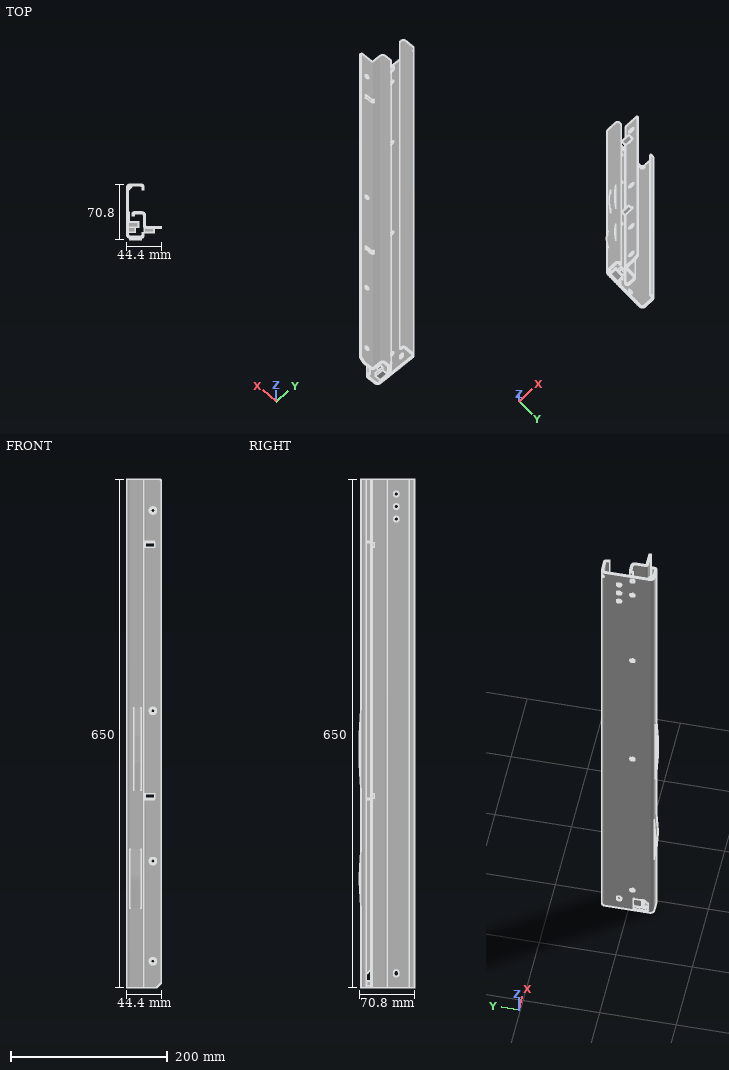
import cadquery as cq
import math

WIDTH = 44.4
DEPTH = 70.8
LENGTH = 650.0
SHEET = 2.1
RAMP_HEIGHT = 2.1

X_LEFT = -WIDTH / 2
X_RIGHT = WIDTH / 2
Y_BACK = DEPTH / 2
Y_BASE = -DEPTH / 2 + RAMP_HEIGHT
Z_TOP = LENGTH / 2
Z_BOTTOM = -LENGTH / 2

X_LIP = -0.2
Y_BACK_LIP_TIP = 28.4
Y_BASE_LIP_TIP = -26.5
WALL_BEND = 5.0
LIP_BEND = 3.6

ROUND_HOLE = 6.2
UPPER_HOLE_Y = 11.9
UPPER_HOLE_PITCH = 16.0
UPPER_HOLE_MIDDLE_Z = 290.0
END_SLOT_Z = -306.5
END_SLOT_LENGTH = 8.0
LOWER_HOLE_Y = -5.6
LOWER_HOLE_ZS = (290.0, 162.0, -30.0, -286.0)
DIMPLE_Z = 317.0
DIMPLE_BOSS = 10.0
DIMPLE_RECESS = 5.5
DIMPLE_RISE = 1.2
CORNER_DIMPLE_BOSS = 6.0
CORNER_DIMPLE_RECESS = 4.0
CORNER_DIMPLE_RISE = 2.5

RAMP_RIGHT = -3.7
UPPER_RAMP_LEFT = -12.8
UPPER_RAMP_MIDDLE_Z = -20.0
UPPER_RAMP_FLAT = 35.2
LOWER_RAMP_LEFT = -18.2
LOWER_RAMP_MIDDLE_Z = -185.5
LOWER_RAMP_FLAT = 5.2
RAMP_RUN = 35.2

X_TRACK = -0.2
X_TRACK_TIP = -14.8
Y_TRACK_BACK = 0.1
Y_TRACK_TIP = -4.8
Y_FLANGE = -18.6
TRACK_BEND = 5.0
TIP_BEND = 2.8
FLANGE_BEND = 3.0
FLANGE_TOP_CHAMFER = 1.5
FLANGE_BOTTOM_CHAMFER = 6.0

SCREW_X = 11.5
SCREW_ZS = (285.0, 29.0, -163.0, -291.0)
SCREW_HOLE = 5.8
SCREW_HEAD = 9.0

TAB_LEFT = 0.3
TAB_RIGHT = 12.9
TAB_TIP_Y = -26.4
TAB_SLOT_RIGHT = 13.7
TAB_SLOT_HEIGHT = 5.6
TAB_SLOTS = ((241.0, 1), (-79.8, -1))

LATCH_Z_TOP = -302.5
LATCH_Z_BOTTOM = -316.0
LATCH_PLATE_Y = (-17.9, -7.0)
LATCH_BLOCK_Y = (-19.5, -12.7)
LATCH_BLOCK_INNER_X = -6.9
LATCH_SHELF_Y = (-26.0, -12.7)
LATCH_SHELF_INNER_X = -10.8
LATCH_SHELF_Z_BOTTOM = -322.5
LATCH_TONGUE_Y = (-26.0, -7.0)
LATCH_TONGUE_Z = (-321.5, -317.5)
WINDOW_Y = (-26.2, -18.8)
WINDOW_CHAMFER = 5.0


def box_between(x_range, y_range, z_range):
    sizes = [high - low for low, high in (x_range, y_range, z_range)]
    corner = (x_range[0], y_range[0], z_range[0])
    return cq.Workplane("XY").box(*sizes, centered=False).translate(corner)


def bent_sheet(one_side, other_side, bend_radii):
    """Extrude the strip between two rows of corners; each middle pair of corners is one bend.

    A radius is that of the outside of its bend, and the inside of the bend is concentric with it.
    The outside corner is on the first row for a positive radius and on the second for a negative.
    """
    sheet = (
        cq.Workplane("XY").workplane(offset=Z_BOTTOM)
        .polyline(one_side + other_side[::-1]).close().extrude(LENGTH)
    )
    for corner, other_corner, radius in zip(one_side[1:-1], other_side[1:-1], bend_radii):
        outside, inside = (corner, other_corner) if radius > 0 else (other_corner, corner)
        for (x, y), corner_radius in ((outside, abs(radius)), (inside, abs(radius) - SHEET)):
            bend_edge = cq.selectors.NearestToPointSelector((x, y, 0))
            sheet = sheet.edges("|Z").edges(bend_edge).fillet(corner_radius)
    return sheet


def wall_cylinder(y, z, diameter, x_start, x_end):
    return (
        cq.Workplane("YZ", origin=(x_start, 0, 0))
        .center(y, z).circle(diameter / 2).extrude(x_end - x_start)
    )


def ramp(x_left, middle_z, flat):
    """Pad under the base with a sloped run at each end of its flat."""
    half_flat = flat / 2
    half_length = half_flat + RAMP_RUN
    y_inside = Y_BASE + SHEET / 2
    return (
        cq.Workplane("YZ", origin=(x_left, 0, middle_z))
        .polyline([
            (y_inside, -half_length),
            (Y_BASE, -half_length),
            (Y_BASE - RAMP_HEIGHT, -half_flat),
            (Y_BASE - RAMP_HEIGHT, half_flat),
            (Y_BASE, half_length),
            (y_inside, half_length),
        ])
        .close().extrude(RAMP_RIGHT - x_left)
    )


def add_wall_dimple(rail):
    x_inner = X_LEFT + SHEET
    boss = wall_cylinder(LOWER_HOLE_Y, DIMPLE_Z, DIMPLE_BOSS, X_LEFT + SHEET / 2, x_inner + DIMPLE_RISE)
    recess = wall_cylinder(LOWER_HOLE_Y, DIMPLE_Z, DIMPLE_RECESS, X_LEFT, X_LEFT + DIMPLE_RISE)
    return rail.union(boss).cut(recess)


def add_corner_dimple(rail):
    """Dimple pressed diagonally inwards through the bend at the back of the wall."""
    on_bend = WALL_BEND * (1 - math.sqrt(0.5))
    plane = cq.Plane(
        origin=(X_LEFT + on_bend, Y_BACK - on_bend, DIMPLE_Z),
        xDir=(0, 0, 1),
        normal=(1, -1, 0),
    )
    boss = (
        cq.Workplane(plane).workplane(offset=SHEET / 2)
        .circle(CORNER_DIMPLE_BOSS / 2).extrude(SHEET / 2 + CORNER_DIMPLE_RISE)
    )
    recess = (
        cq.Workplane(plane).workplane(offset=CORNER_DIMPLE_RISE)
        .circle(CORNER_DIMPLE_RECESS / 2).extrude(-WALL_BEND)
    )
    return rail.union(boss).cut(recess)


def cut_wall_holes(rail):
    x_inner = X_LEFT + SHEET
    for step in (-1, 0, 1):
        z = UPPER_HOLE_MIDDLE_Z + step * UPPER_HOLE_PITCH
        rail = rail.cut(wall_cylinder(UPPER_HOLE_Y, z, ROUND_HOLE, X_LEFT, x_inner))
    for z in LOWER_HOLE_ZS:
        rail = rail.cut(wall_cylinder(LOWER_HOLE_Y, z, ROUND_HOLE, X_LEFT, x_inner))
    end_slot = (
        cq.Workplane("YZ", origin=(X_LEFT, 0, 0))
        .center(UPPER_HOLE_Y, END_SLOT_Z).slot2D(END_SLOT_LENGTH, ROUND_HOLE, 90).extrude(SHEET)
    )
    return rail.cut(end_slot)


def make_latch_window():
    """Opening in the wall beside the latch plate, with one corner cut off."""
    y_front, y_back = WINDOW_Y
    return (
        cq.Workplane("YZ", origin=(X_LEFT, 0, 0))
        .polyline([
            (y_back, LATCH_Z_BOTTOM),
            (y_back, LATCH_Z_TOP),
            (y_front + WINDOW_CHAMFER, LATCH_Z_TOP),
            (y_front, LATCH_Z_TOP - WINDOW_CHAMFER),
            (y_front, LATCH_Z_BOTTOM),
        ])
        .close().extrude(SHEET)
    )


def make_latch():
    """Plate and tongue set into the wall, carrying a block and a shelf inside the channel."""
    x_inner = X_LEFT + SHEET
    upper_z = (LATCH_Z_BOTTOM, LATCH_Z_TOP)
    shelf_z = (LATCH_SHELF_Z_BOTTOM, LATCH_Z_BOTTOM)
    plate = box_between((X_LEFT, x_inner), LATCH_PLATE_Y, upper_z)
    block = box_between((x_inner, LATCH_BLOCK_INNER_X), LATCH_BLOCK_Y, upper_z)
    shelf = box_between((x_inner, LATCH_SHELF_INNER_X), LATCH_SHELF_Y, shelf_z)
    tongue = box_between((X_LEFT, x_inner), LATCH_TONGUE_Y, LATCH_TONGUE_Z)
    return plate.union(block).union(shelf).union(tongue)


def make_rail(latch):
    x_inner = X_LEFT + SHEET
    x_lip_inner = X_LIP - SHEET
    rail = bent_sheet(
        one_side=[
            (X_LIP, Y_BACK_LIP_TIP), (X_LIP, Y_BACK), (X_LEFT, Y_BACK),
            (X_LEFT, Y_BASE), (X_LIP, Y_BASE), (X_LIP, Y_BASE_LIP_TIP),
        ],
        other_side=[
            (x_lip_inner, Y_BACK_LIP_TIP), (x_lip_inner, Y_BACK - SHEET), (x_inner, Y_BACK - SHEET),
            (x_inner, Y_BASE + SHEET), (x_lip_inner, Y_BASE + SHEET), (x_lip_inner, Y_BASE_LIP_TIP),
        ],
        bend_radii=[LIP_BEND, WALL_BEND, WALL_BEND, LIP_BEND],
    )
    rail = rail.union(ramp(UPPER_RAMP_LEFT, UPPER_RAMP_MIDDLE_Z, UPPER_RAMP_FLAT))
    rail = rail.union(ramp(LOWER_RAMP_LEFT, LOWER_RAMP_MIDDLE_Z, LOWER_RAMP_FLAT))
    rail = add_wall_dimple(rail)
    rail = add_corner_dimple(rail)
    rail = cut_wall_holes(rail)
    return rail.cut(make_latch_window()).cut(latch)


def tab_slot(middle_z):
    z_range = (middle_z - TAB_SLOT_HEIGHT / 2, middle_z + TAB_SLOT_HEIGHT / 2)
    return box_between((TAB_LEFT, TAB_SLOT_RIGHT), (Y_FLANGE - SHEET, Y_FLANGE + SHEET), z_range)


def tab(middle_z, side):
    """Tab sheared out of its slot and bent down along the slot edge."""
    near = middle_z + side * TAB_SLOT_HEIGHT / 2
    far = near + side * SHEET
    z_range = (min(near, far), max(near, far))
    return box_between((TAB_LEFT, TAB_RIGHT), (TAB_TIP_Y, Y_FLANGE - SHEET / 2), z_range)


def flange_corner(z_end, chamfer, inwards):
    """Triangle cut off a free corner of the flange."""
    return (
        cq.Workplane("XZ", origin=(0, Y_FLANGE, 0))
        .polyline([(X_RIGHT, z_end), (X_RIGHT - chamfer, z_end), (X_RIGHT, z_end + inwards * chamfer)])
        .close().extrude(SHEET)
    )


def screw_hole(z):
    """Through hole countersunk from the front face of the flange."""
    y_front = Y_FLANGE - SHEET
    countersink_depth = (SCREW_HEAD - SCREW_HOLE) / 2
    start = cq.Vector(SCREW_X, y_front, z)
    backwards = cq.Vector(0, 1, 0)
    cone = cq.Solid.makeCone(SCREW_HEAD / 2, SCREW_HOLE / 2, countersink_depth, start, backwards)
    hole = cq.Solid.makeCylinder(SCREW_HOLE / 2, SHEET, start, backwards)
    return cq.Workplane(cone).union(cq.Workplane(hole))


def make_bracket():
    x_track_far = X_TRACK + SHEET
    y_front = Y_FLANGE - SHEET
    bracket = bent_sheet(
        one_side=[
            (X_TRACK_TIP, Y_TRACK_TIP), (X_TRACK_TIP, Y_TRACK_BACK), (x_track_far, Y_TRACK_BACK),
            (x_track_far, Y_FLANGE), (X_RIGHT, Y_FLANGE),
        ],
        other_side=[
            (X_TRACK_TIP + SHEET, Y_TRACK_TIP), (X_TRACK_TIP + SHEET, Y_TRACK_BACK - SHEET),
            (X_TRACK, Y_TRACK_BACK - SHEET), (X_TRACK, y_front), (X_RIGHT, y_front),
        ],
        bend_radii=[TIP_BEND, TRACK_BEND, -FLANGE_BEND],
    )
    bracket = bracket.cut(flange_corner(Z_TOP, FLANGE_TOP_CHAMFER, -1))
    bracket = bracket.cut(flange_corner(Z_BOTTOM, FLANGE_BOTTOM_CHAMFER, 1))
    for z in SCREW_ZS:
        bracket = bracket.cut(screw_hole(z))
    for middle_z, side in TAB_SLOTS:
        bracket = bracket.cut(tab_slot(middle_z)).union(tab(middle_z, side))
    return bracket


latch = make_latch()
rail = make_rail(latch)
bracket = make_bracket()

result = cq.Compound.makeCompound([rail.val(), bracket.val(), latch.val()])